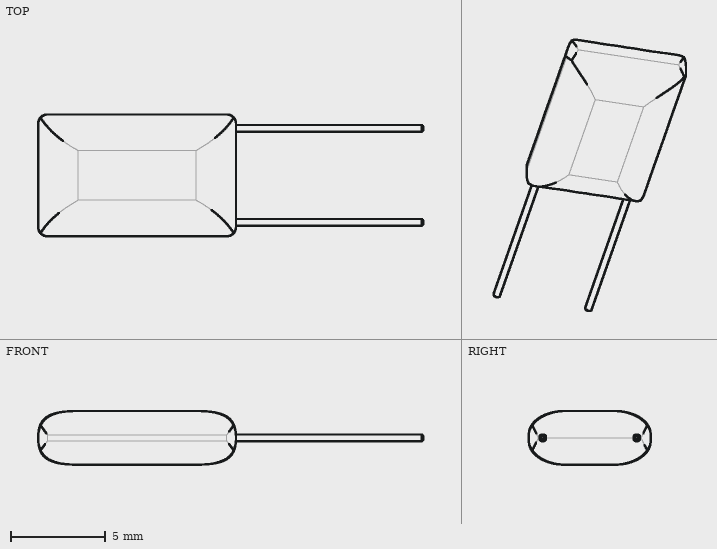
import cadquery as cq

total_length = 20.5
body_length = 10.54
body_width = 6.5
body_height = 2.87

end_inset = 2.13
side_inset = 1.93
side_band = 0.3
end_rise_handle = 1.1
end_flat_handle = 1.48
corner_radius = 0.51

lead_spacing = 5.0
lead_diameter = 0.37
lead_tip_chamfer = 0.1
lead_embed = 1.02

half_length = body_length / 2
half_width = body_width / 2
half_height = body_height / 2


def lengthwise_profile():
    """Body section in XZ, with full curved ends, extruded across the width."""
    flat_x = half_length - end_inset

    def end_curve(side, level):
        """Control points from the middle of one end to the flat face."""
        return [
            (side * half_length, 0),
            (side * half_length, level * end_rise_handle),
            (side * (flat_x + end_flat_handle), level * half_height),
            (side * flat_x, level * half_height),
        ]

    return (
        cq.Workplane("XZ", origin=(0, half_width, 0))
        .moveTo(half_length, 0)
        .bezier(end_curve(1, 1))
        .lineTo(-flat_x, half_height)
        .bezier(end_curve(-1, 1)[::-1])
        .bezier(end_curve(-1, -1))
        .lineTo(flat_x, -half_height)
        .bezier(end_curve(1, -1)[::-1])
        .close()
        .extrude(body_width)
    )


def crosswise_profile():
    """Body section in YZ, with elliptical shoulders and upright side bands."""
    flat_y = half_width - side_inset
    band_z = side_band / 2
    shoulder_height = half_height - band_z

    def shoulder(outline, start_angle):
        return outline.ellipseArc(
            side_inset, shoulder_height, start_angle, start_angle + 90, startAtCurrent=True
        )

    start = cq.Workplane("YZ", origin=(-half_length, 0, 0))
    outline = start.moveTo(half_width, -band_z).lineTo(half_width, band_z)
    outline = shoulder(outline, 0).lineTo(-flat_y, half_height)
    outline = shoulder(outline, 90).lineTo(-half_width, -band_z)
    outline = shoulder(outline, 180).lineTo(flat_y, -half_height)
    outline = shoulder(outline, 270).close()
    return outline.extrude(body_length)


def corner_outline():
    """Upright block whose rounded corners trim the body."""
    block = cq.Workplane("XY").box(body_length, body_width, body_height)
    return block.edges("|Z").fillet(corner_radius)


def lead(y):
    """Straight round wire along X with a chamfered free end."""
    exposed_length = total_length - body_length
    return (
        cq.Workplane("YZ", origin=(half_length - lead_embed, y, 0))
        .circle(lead_diameter / 2)
        .extrude(exposed_length + lead_embed)
        .faces(">X")
        .chamfer(lead_tip_chamfer)
    )


body = lengthwise_profile().intersect(crosswise_profile()).intersect(corner_outline())

result = body
for lead_side in (-1, 1):
    result = result.union(lead(lead_side * lead_spacing / 2))